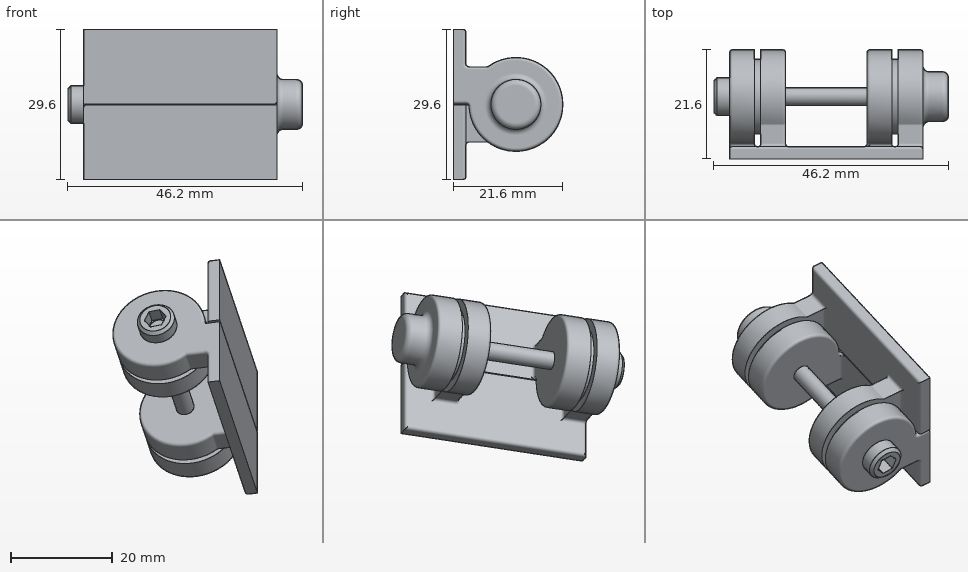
import cadquery as cq
import math


total_width = 46.2
total_depth = 21.56
total_height = 29.57

leaf_width = 38.1
hinge_gap = 0.17
knuckle_radius = 9.25
knuckle_width = 4.9
tang_depth = 7.42
edge_radius = 0.6

washer_radius = 7.4
washer_width = 1.24

boss_radius = 4.92
boss_length = 5.0
boss_rounding = 1.2
boss_wall = 1.5

shank_radius = 1.78
head_radius = 3.73
head_chamfer = 0.63
socket_across_corners = 4.34
socket_depth = 3.0
socket_turn = 5.4

blend_distance = knuckle_radius + edge_radius
hinge_edge = -hinge_gap / 2
plate_front = -math.sqrt(blend_distance**2 - (hinge_edge + edge_radius) ** 2)
plate_back = knuckle_radius - total_depth
plate_end = -total_height / 2
leaf_left = -leaf_width / 2
leaf_right = leaf_width / 2
knuckle_pitch = leaf_width - 2 * knuckle_width - washer_width
lower_knuckle_starts = [leaf_left, leaf_left + knuckle_pitch]
washer_starts = [start + knuckle_width for start in lower_knuckle_starts]
head_length = total_width - leaf_width - boss_length
head_end = leaf_left - head_length
screw_tip = leaf_right + boss_length - boss_wall

tolerance = 0.01


def x_cylinder(radius, start, end):
    """Cylinder on the pin axis between two X positions."""
    return cq.Workplane("YZ", origin=(start, 0, 0)).circle(radius).extrude(end - start)


def blend_arc(centre_y, centre_z, line_side):
    """Arc that blends the knuckle circle into a level line below (-1) or above (+1) the arc centre.

    Returns its end on the line, its middle and its end on the circle."""
    line_angle = line_side * math.pi / 2
    circle_angle = math.atan2(-centre_z, -centre_y)
    angles = [line_angle, (line_angle + circle_angle) / 2, circle_angle]
    return [(centre_y + edge_radius * math.cos(a), centre_z + edge_radius * math.sin(a)) for a in angles]


def make_knuckle(start):
    """Round eye joined to the plate by a tang, with blends between the circle and the straight sides."""
    hinge_blend = blend_arc(plate_front, hinge_edge + edge_radius, -1)
    tang_blend_z = -tang_depth - edge_radius
    tang_blend = blend_arc(-math.sqrt(blend_distance**2 - tang_blend_z**2), tang_blend_z, 1)
    return (
        cq.Workplane("YZ", origin=(start, 0, 0))
        .moveTo(plate_back, hinge_edge)
        .lineTo(*hinge_blend[0])
        .threePointArc(hinge_blend[1], hinge_blend[2])
        .threePointArc((knuckle_radius, 0), tang_blend[2])
        .threePointArc(tang_blend[1], tang_blend[0])
        .lineTo(plate_back, -tang_depth)
        .close()
        .extrude(knuckle_width)
    )


def is_rounded_edge(edge):
    """True for the edges of an unrounded lower leaf that get the edge radius."""
    box = edge.BoundingBox()
    level = box.zmax - box.zmin < tolerance
    across_x = box.xmax - box.xmin > tolerance
    in_plate_front = abs(box.ymin - plate_front) < tolerance and abs(box.ymax - plate_front) < tolerance
    if in_plate_front:
        return not (level and abs(box.zmax - hinge_edge) < tolerance)
    if across_x or box.ymax < plate_back + tolerance or box.zmin < plate_end + tolerance:
        return False
    return any(abs(box.xmin - start) < tolerance for start in lower_knuckle_starts)


def make_leaf():
    """Lower leaf without its bore: plate and two knuckles, with rounded edges and roots."""
    leaf = (
        cq.Workplane("XY", origin=(leaf_left, plate_back, plate_end))
        .box(leaf_width, plate_front - plate_back, hinge_edge - plate_end, centered=False)
    )
    for start in lower_knuckle_starts:
        leaf = leaf.union(make_knuckle(start))
    rounded_edges = [edge for edge in leaf.edges().vals() if is_rounded_edge(edge)]
    return leaf.newObject(rounded_edges).fillet(edge_radius)


def make_boss():
    """Boss turned about the pin axis: flared at the knuckle face, rounded at its end."""
    boss_end = leaf_right + boss_length
    embed = knuckle_width / 2
    flare_radius = boss_radius + boss_rounding
    bend = boss_rounding * math.sqrt(0.5)
    flare_x = leaf_right + boss_rounding
    round_x = boss_end - boss_rounding
    round_y = boss_radius - boss_rounding
    return (
        cq.Workplane("XY")
        .moveTo(leaf_right - embed, 0)
        .lineTo(leaf_right - embed, flare_radius)
        .lineTo(leaf_right, flare_radius)
        .threePointArc((flare_x - bend, flare_radius - bend), (flare_x, boss_radius))
        .lineTo(round_x, boss_radius)
        .threePointArc((round_x + bend, round_y + bend), (boss_end, round_y))
        .lineTo(boss_end, 0)
        .close()
        .revolve(360, (0, 0, 0), (1, 0, 0))
    )


def make_screw():
    """Socket-head screw running from the left knuckle face into the boss."""
    head = x_cylinder(head_radius, head_end, leaf_left).faces("<X").chamfer(head_chamfer)
    socket = (
        cq.Workplane("YZ", origin=(head_end, 0, 0))
        .polygon(6, socket_across_corners)
        .extrude(socket_depth)
        .rotate((0, 0, 0), (1, 0, 0), -socket_turn)
    )
    return head.union(x_cylinder(shank_radius, leaf_left, screw_tip)).cut(socket)


bore = x_cylinder(shank_radius, leaf_left, screw_tip)

lower_leaf = make_leaf().cut(bore)

upper_leaf = make_leaf().rotate((0, 0, 0), (0, 1, 0), 180).union(make_boss()).cut(bore)

screw = make_screw()

washers = [x_cylinder(washer_radius, start, start + washer_width).cut(bore) for start in washer_starts]

result = cq.Compound.makeCompound(
    [lower_leaf.val(), upper_leaf.val(), screw.val(), *[washer.val() for washer in washers]]
)